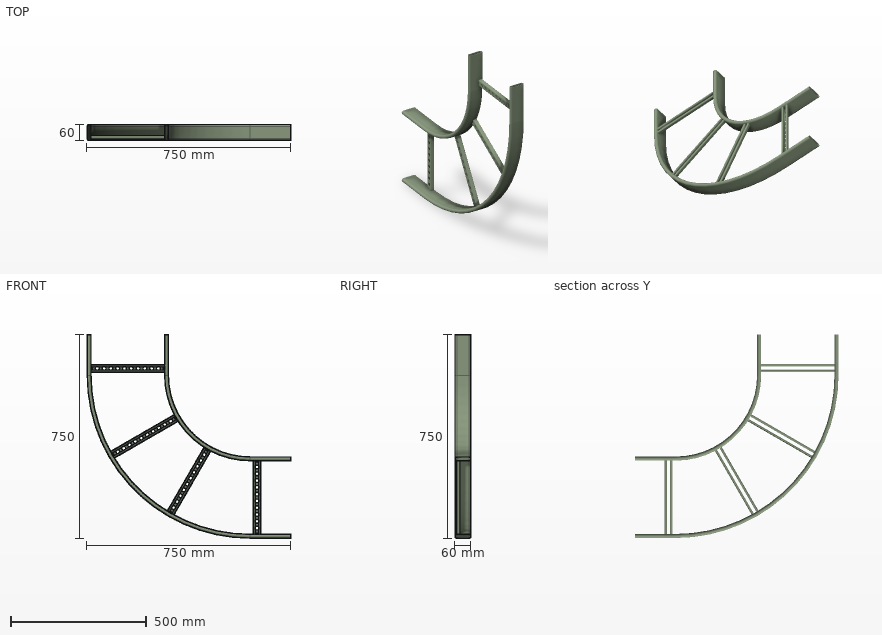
import cadquery as cq
import math

overall_size = 750.0
leg_length = 150.0
tray_width = 300.0
bend_center = overall_size - leg_length

rail_height = 60.0
rail_thickness = 15.0
rail_wall = 1.5
outer_rail_radius = bend_center - rail_thickness / 2
inner_rail_radius = outer_rail_radius - tray_width + rail_thickness

rung_wall = 1.5
rung_back = -10.5
rung_depth = 14.0
rung_width = 31.0
web_width = 23.0
lip_width = 10.0
lip_return = 5.0
bend_radius = 2.6
hole_diameter = 13.5
hole_pitch = 75 / 3
hole_count = 12

leg_rung_offset = 25.5
bend_rung_angles = (30, 60)
rung_start = inner_rail_radius + rail_thickness / 2
rung_end = outer_rail_radius - rail_thickness / 2
curved_rung_end = math.sqrt(rung_end**2 - (rung_width / 2) ** 2)


def turn(body, angle):
    """Turn a body about the bend axis, from the vertical leg toward the horizontal leg."""
    return body.rotate((bend_center, 0, bend_center), (bend_center, -1, bend_center), angle)


def make_rail(radius):
    """Vertical leg, quarter bend and horizontal leg as one tube."""
    straight_height = rail_height - rail_thickness
    section = (
        cq.Sketch()
        .slot(straight_height, rail_thickness, angle=90)
        .slot(straight_height, rail_thickness - 2 * rail_wall, angle=90, mode="s")
    )
    joint = cq.Workplane("XY", origin=(bend_center - radius, 0, bend_center)).placeSketch(section)
    vertical_leg = joint.extrude(leg_length)
    bend = joint.revolve(90, (radius, 0, 0), (radius, -1, 0))
    horizontal_leg = turn(joint.extrude(-leg_length), 90)
    return vertical_leg.union(bend).union(horizontal_leg)


def rung_section():
    """Closed outline of the bent sheet, in the YZ plane."""
    half_sheet = rung_wall / 2
    back = rung_back - half_sheet
    front = rung_back - rung_depth + half_sheet
    return_edge = front + lip_return - half_sheet
    half_web = web_width / 2 - half_sheet
    half_front = rung_width / 2 - half_sheet
    half_mouth = rung_width / 2 - lip_width + half_sheet
    upper_half = [(back, half_web), (front, half_front), (front, half_mouth), (return_edge, half_mouth)]
    lower_half = [(y, -z) for y, z in reversed(upper_half)]
    middle_line = cq.Wire.makePolygon([cq.Vector(0, y, z) for y, z in lower_half + upper_half])
    return middle_line.fillet(bend_radius).offset2D(half_sheet)[0]


def make_rung(start, end):
    """Rung that runs radially across the tray, at the joint of the vertical leg."""
    left_end = cq.Location((bend_center - end, 0, 0))
    section = cq.Face.makeFromWires(rung_section().moved(left_end))
    channel = cq.Workplane(cq.Solid.extrudeLinear(section, cq.Vector(end - start, 0, 0)))
    holes = (
        cq.Workplane("XZ", origin=(bend_center - (start + end) / 2, rung_back, 0))
        .rarray(hole_pitch, 7.5, hole_count, 1)
        .circle(hole_diameter / 2)
        .extrude(rung_wall)
    )
    return channel.cut(holes).translate((0, 0, bend_center))


outer_rail = make_rail(outer_rail_radius)
inner_rail = make_rail(inner_rail_radius)

vertical_leg_rung = make_rung(rung_start, rung_end).translate((0, 0, leg_rung_offset))
horizontal_leg_rung = turn(make_rung(rung_start, rung_end), 90).translate((leg_rung_offset, 0, 0))
rungs = [vertical_leg_rung, horizontal_leg_rung]
for angle in bend_rung_angles:
    rungs.append(turn(make_rung(rung_start, curved_rung_end), angle))

rail_solids = [rail.solids().val() for rail in (outer_rail, inner_rail)]
rung_solids = [rung.solids().val() for rung in rungs]
result = cq.Compound.makeCompound([*rail_solids, *rung_solids])